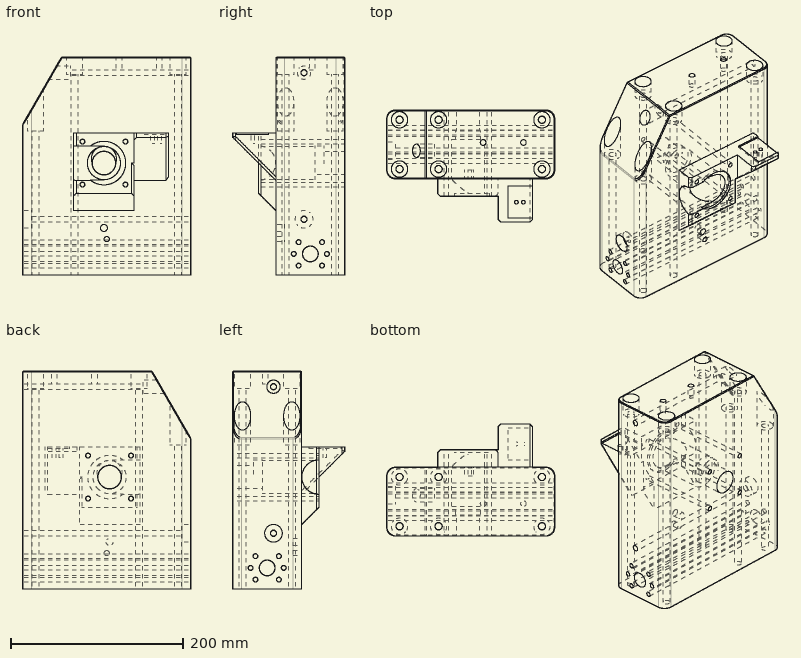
import cadquery as cq
import math


block_length = 195.0
block_depth = 80.0
block_height = 253.0
corner_radius = 10.0
slope_run = 45.0
slope_angle = 60.0
top_chamfer = 1.0
slope_rise = slope_run * math.tan(math.radians(slope_angle))

housing_left = 59.2
housing_width = 70.0
housing_top = 165.0
housing_reach = 20.2
shelf_width = 40.0
shelf_reach = 50.0
shelf_lip = 5.0
front_chamfer = 3.0
housing_right = housing_left + housing_width
housing_bottom = housing_top - housing_width
shelf_right = housing_right + shelf_width

pocket_left = 140.7
pocket_back = 8.3
pocket_width = 37.2
pocket_depth = 2.0
shelf_hole_diameter = 4.3
shelf_hole_depth = 10.0
shelf_hole_first_x = 150.5
shelf_hole_spacing = 8.0

bore_x = housing_left + housing_width / 2
bore_z = housing_top - housing_width / 2
recess_diameter = 50.5
recess_depth = 3.0
bore_diameter = 38.5
bore_depth = 65.8
relief_diameter = 29.0
relief_depth = 10.0
relief_offset_z = 5.0
through_diameter = 27.0
side_channel_diameter = 40.0
flange_hole_diameter = 5.3
flange_hole_spacing = 49.8

dowel_diameter = 8.0
dowel_z = 54.6
pin_diameter = 6.0
pin_offset_x = 3.3
pin_z = 41.7
front_hole_depth = 10.0

bolt_diameter = 8.0
bolt_head_diameter = 19.0
bolt_columns_x = (15.0, 60.2, 180.1)
bolt_rows_y = (11.5, block_depth - 11.5)
slope_bolt_seat_z = 167.0
top_bolt_seat_z = 232.8

top_hole_diameter = 6.5
top_hole_depth = 15.2
top_holes_x = (111.8, 158.6)
top_holes_y = 42.3

rod_diameter = 6.8
rod_y = 32.6
upper_rod_z = 234.8
upper_head_diameter = 15.5
upper_seat_x = 55.7
lower_rod_z = 64.8
lower_head_diameter = 20.5
lower_seat_x = 10.0
port_diameter = 18.0
port_z = 24.5
port_bolt_diameter = 5.3
port_bolt_circle = 38.5
port_bolt_angles = (0, 45, 135, 180, 225, 315)


def hole_in(x, z, diameter, depth, start_y=0.0):
    """Cylinder running toward the back from start_y."""
    axis = cq.Vector(0, 1, 0)
    return cq.Workplane(cq.Solid.makeCylinder(diameter / 2, depth, cq.Vector(x, start_y, z), axis))


def hole_down(x, y, diameter, depth, start_z=block_height):
    """Cylinder running downward from start_z."""
    axis = cq.Vector(0, 0, -1)
    return cq.Workplane(cq.Solid.makeCylinder(diameter / 2, depth, cq.Vector(x, y, start_z), axis))


def hole_along(y, z, diameter, length, start_x=0.0):
    """Cylinder running to the right from start_x."""
    axis = cq.Vector(1, 0, 0)
    return cq.Workplane(cq.Solid.makeCylinder(diameter / 2, length, cq.Vector(start_x, y, z), axis))


def main_block():
    """Rounded block with one sloped corner and a chamfered upper outline."""
    block = cq.Workplane("XY").box(block_length, block_depth, block_height, centered=False)
    block = block.edges("|Z").fillet(corner_radius)
    corner = (
        cq.Workplane("XZ")
        .moveTo(0, block_height - slope_rise)
        .lineTo(slope_run, block_height)
        .lineTo(0, block_height)
        .close()
        .extrude(-block_depth)
    )
    block = block.cut(corner)
    slope_middle = (slope_run / 2, block_depth / 2, block_height - slope_rise / 2)
    slope_edges = block.faces(cq.NearestToPointSelector(slope_middle)).edges()
    return block.faces(">Z").edges().add(slope_edges).chamfer(top_chamfer)


def front_bracket():
    """Housing and shelf, both carried by 45 degree undersides."""
    housing = (
        cq.Workplane("YZ", origin=(housing_left, 0, 0))
        .moveTo(0, housing_top)
        .lineTo(-housing_reach, housing_top)
        .lineTo(-housing_reach, housing_bottom)
        .lineTo(0, housing_bottom - housing_reach)
        .close()
        .extrude(housing_width)
    )
    shelf = (
        cq.Workplane("YZ", origin=(housing_right, 0, 0))
        .moveTo(0, housing_top)
        .lineTo(-shelf_reach, housing_top)
        .lineTo(-shelf_reach, housing_top - shelf_lip)
        .lineTo(0, housing_top - shelf_lip - shelf_reach)
        .close()
        .extrude(shelf_width)
    )
    bracket = housing.union(shelf)
    shelf_edge_z = housing_top - shelf_lip / 2
    outer_edge_points = (
        (housing_left, -housing_reach, bore_z),
        (housing_right, -housing_reach, housing_bottom + front_chamfer),
        (housing_right, -shelf_reach, shelf_edge_z),
        (shelf_right, -shelf_reach, shelf_edge_z),
    )
    for point in outer_edge_points:
        bracket = bracket.edges("|Z").edges(cq.NearestToPointSelector(point)).chamfer(front_chamfer)
    right_edges = bracket.faces(">X").edges("not (#Z or |Z)")
    return right_edges.chamfer(front_chamfer)


def shelf_cuts():
    """Shallow pocket open to the right, with two blind holes in its floor."""
    pocket = cq.Workplane("XY").box(
        shelf_right - pocket_left, pocket_width, pocket_depth, centered=False
    )
    pocket_front = -pocket_back - pocket_width
    floor_z = housing_top - pocket_depth
    cuts = pocket.translate((pocket_left, pocket_front, floor_z))
    for index in range(2):
        x = shelf_hole_first_x + index * shelf_hole_spacing
        y = pocket_front + pocket_width / 2
        cuts = cuts.union(hole_down(x, y, shelf_hole_diameter, shelf_hole_depth, floor_z))
    return cuts


def bore_cuts():
    """Stepped bore, raised relief in its floor, side channel and four flange holes."""
    full_depth = housing_reach + block_depth
    steps = (
        (recess_diameter, recess_depth),
        (bore_diameter, bore_depth),
        (through_diameter, full_depth),
    )
    cuts = hole_along(-housing_reach, bore_z, side_channel_diameter, housing_width / 2, housing_left)
    for diameter, depth in steps:
        cuts = cuts.union(hole_in(bore_x, bore_z, diameter, depth, -housing_reach))
    relief_z = bore_z + relief_offset_z
    floor_y = bore_depth - housing_reach
    cuts = cuts.union(hole_in(bore_x, relief_z, relief_diameter, relief_depth, floor_y))
    for side_x in (-1, 1):
        for side_z in (-1, 1):
            x = bore_x + side_x * flange_hole_spacing / 2
            z = bore_z + side_z * flange_hole_spacing / 2
            cuts = cuts.union(hole_in(x, z, flange_hole_diameter, full_depth, -housing_reach))
    return cuts


def front_holes():
    """Two blind holes below the housing."""
    dowel = hole_in(bore_x, dowel_z, dowel_diameter, front_hole_depth)
    return dowel.union(hole_in(bore_x + pin_offset_x, pin_z, pin_diameter, front_hole_depth))


def vertical_holes():
    """Counterbored through bolts and two blind holes in the top."""
    cuts = cq.Workplane("XY")
    for x in bolt_columns_x:
        seat_z = slope_bolt_seat_z if x < slope_run else top_bolt_seat_z
        for y in bolt_rows_y:
            cuts = cuts.add(hole_down(x, y, bolt_diameter, block_height))
            cuts = cuts.add(hole_down(x, y, bolt_head_diameter, block_height - seat_z))
    for x in top_holes_x:
        cuts = cuts.add(hole_down(x, top_holes_y, top_hole_diameter, top_hole_depth))
    return cuts.combine()


def lengthwise_holes():
    """Two counterbored rod holes and a port with its bolt pattern."""
    cuts = hole_along(rod_y, upper_rod_z, rod_diameter, block_length)
    cuts = cuts.union(hole_along(rod_y, upper_rod_z, upper_head_diameter, upper_seat_x))
    cuts = cuts.union(hole_along(rod_y, lower_rod_z, rod_diameter, block_length))
    cuts = cuts.union(hole_along(rod_y, lower_rod_z, lower_head_diameter, lower_seat_x))
    port_y = block_depth / 2
    cuts = cuts.union(hole_along(port_y, port_z, port_diameter, block_length))
    for angle in port_bolt_angles:
        y = port_y + port_bolt_circle / 2 * math.cos(math.radians(angle))
        z = port_z + port_bolt_circle / 2 * math.sin(math.radians(angle))
        cuts = cuts.union(hole_along(y, z, port_bolt_diameter, block_length))
    return cuts


result = main_block().union(front_bracket())
for cuts in (shelf_cuts(), bore_cuts(), front_holes(), vertical_holes(), lengthwise_holes()):
    result = result.cut(cuts)